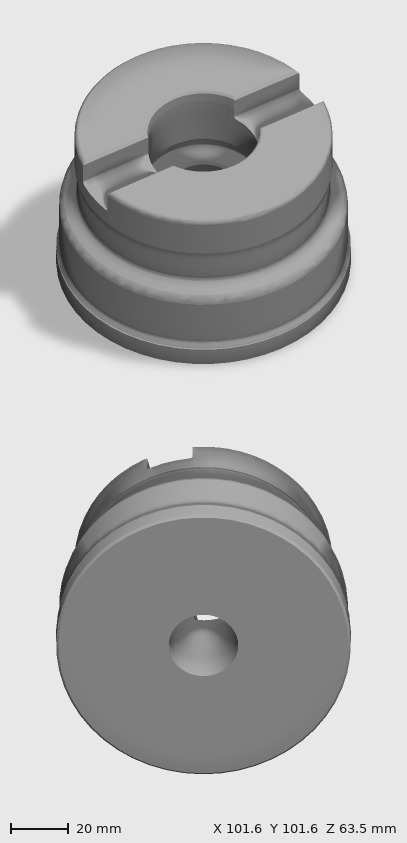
import cadquery as cq

BASE_RADIUS = 50.8
BASE_CHAMFER = 0.8
BASE_TOP = 7.7
UNDERCUT_RADIUS = 49.8
LIP_BOTTOM = 8.6
LIP_TOP = 10.5
LIP_FILLET = 0.8
RELIEF_RADIUS = 49.7
RELIEF_TOP = 11.8

BODY_RADIUS = 99.6 / 2
SHOULDER_BOTTOM = 30.4
SHOULDER_TOP = 34.7
SHOULDER_FILLET = 3.9
NECK_RADIUS = 87.3 / 2
NECK_FILLET = 1.1
NECK_TOP = 46.6

HEIGHT = 63.5
HEAD_RADIUS = 89.0 / 2
HEAD_BOTTOM = 47.3
HEAD_BOTTOM_CHAMFER = 0.1
HEAD_BOTTOM_CHAMFER_HEIGHT = 0.7
CROWN_INSET = 1.3
CROWN_HEIGHT = 2.0
HEAD_COLLAR = 0.3

HOLE_RADIUS = 24.0 / 2
HOLE_CHAMFER = 0.9
BORE_RADIUS = 38.1 / 2
BORE_BOTTOM = 41.0
LEAD_IN_BOTTOM = 59.3
LEAD_IN_RADIUS = 19.3
MOUTH_CHAMFER = 0.7
RECESS_RADIUS = 41.2 / 2
RECESS_FLOOR = 36.6
RECESS_FILLET = 0.6

SLOT_WIDTH = 16.3
SLOT_DEPTH = 9.5
SLOT_FLOOR_FILLET = 1.2
SLOT_EDGE_CHAMFER = 1.0


def round_circle(solid, radius, height, fillet):
    """Fillet the circular edge around Z at the given radius and height."""
    tolerance = 0.01

    def is_wanted(edge):
        same_radius = abs(edge.radius() - radius) < tolerance
        same_height = abs(edge.Center().z - height) < tolerance
        return same_radius and same_height

    return solid.edges("%CIRCLE").filter(is_wanted).fillet(fillet)


def make_body():
    crown_radius = (CROWN_INSET**2 + CROWN_HEIGHT**2) / (2 * CROWN_INSET)
    side_points = [
        (0, 0),
        (BASE_RADIUS - BASE_CHAMFER, 0),
        (BASE_RADIUS, BASE_CHAMFER),
        (BASE_RADIUS, BASE_TOP),
        (UNDERCUT_RADIUS, BASE_TOP),
        (UNDERCUT_RADIUS, LIP_BOTTOM),
        (BASE_RADIUS, LIP_BOTTOM),
        (RELIEF_RADIUS, LIP_TOP),
        (RELIEF_RADIUS, RELIEF_TOP - (BODY_RADIUS - RELIEF_RADIUS)),
        (BODY_RADIUS, RELIEF_TOP),
        (BODY_RADIUS, SHOULDER_BOTTOM),
        (NECK_RADIUS, SHOULDER_TOP),
        (NECK_RADIUS, NECK_TOP),
        (NECK_RADIUS + HEAD_COLLAR, HEAD_BOTTOM),
        (HEAD_RADIUS - HEAD_BOTTOM_CHAMFER, HEAD_BOTTOM),
        (HEAD_RADIUS, HEAD_BOTTOM + HEAD_BOTTOM_CHAMFER_HEIGHT),
        (HEAD_RADIUS, HEIGHT - CROWN_HEIGHT),
    ]
    outline = (
        cq.Workplane("XZ")
        .polyline(side_points)
        .radiusArc((HEAD_RADIUS - CROWN_INSET, HEIGHT), -crown_radius)
        .lineTo(0, HEIGHT)
        .close()
    )
    body = outline.revolve(360, (0, 0, 0), (0, 1, 0))
    body = round_circle(body, RELIEF_RADIUS, LIP_TOP, LIP_FILLET)
    body = round_circle(body, BODY_RADIUS, SHOULDER_BOTTOM, SHOULDER_FILLET)
    return round_circle(body, NECK_RADIUS, SHOULDER_TOP, NECK_FILLET)


def make_bore():
    """Through hole, wider recess above it, then the bore and its flared mouth."""
    bore_points = [
        (0, 0),
        (HOLE_RADIUS, 0),
        (HOLE_RADIUS, RECESS_FLOOR - HOLE_CHAMFER),
        (HOLE_RADIUS + HOLE_CHAMFER, RECESS_FLOOR),
        (RECESS_RADIUS, RECESS_FLOOR),
        (RECESS_RADIUS, BORE_BOTTOM),
        (BORE_RADIUS, BORE_BOTTOM),
        (BORE_RADIUS, LEAD_IN_BOTTOM),
        (LEAD_IN_RADIUS, HEIGHT - MOUTH_CHAMFER),
        (LEAD_IN_RADIUS + MOUTH_CHAMFER, HEIGHT),
        (0, HEIGHT),
    ]
    outline = cq.Workplane("XZ").polyline(bore_points).close()
    bore = outline.revolve(360, (0, 0, 0), (0, 1, 0))
    return round_circle(bore, RECESS_RADIUS, RECESS_FLOOR, RECESS_FILLET)


def make_slot():
    """Slot with a rounded floor and chamfered top edges."""
    half_width = SLOT_WIDTH / 2
    half_mouth = half_width + SLOT_EDGE_CHAMFER
    half_floor = half_width - SLOT_FLOOR_FILLET
    floor = HEIGHT - SLOT_DEPTH
    wall_top = HEIGHT - SLOT_EDGE_CHAMFER
    wall_bottom = floor + SLOT_FLOOR_FILLET
    return (
        cq.Workplane("XZ")
        .moveTo(-half_mouth, HEIGHT)
        .lineTo(-half_width, wall_top)
        .lineTo(-half_width, wall_bottom)
        .radiusArc((-half_floor, floor), -SLOT_FLOOR_FILLET)
        .lineTo(half_floor, floor)
        .radiusArc((half_width, wall_bottom), -SLOT_FLOOR_FILLET)
        .lineTo(half_width, wall_top)
        .lineTo(half_mouth, HEIGHT)
        .close()
        .extrude(BASE_RADIUS, both=True)
    )


result = make_body().cut(make_bore()).cut(make_slot())